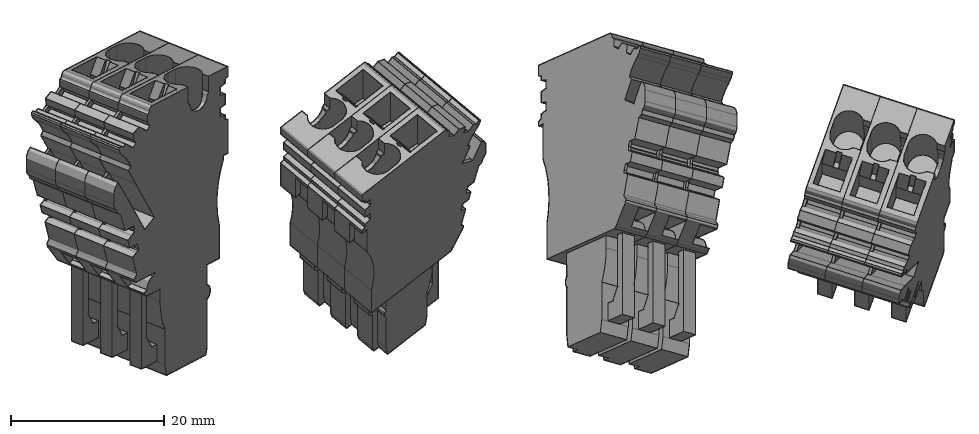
import cadquery as cq


MODULE_COUNT = 3
MODULE_WIDTH = 5.1
HEIGHT = 40.75
TOP_EDGE_RADIUS = 0.15

HOUSING_BOTTOM = 13.15
HOUSING_REAR = 1.75
WAIST_DEPTH = 2.2
REAR_STEP = 0.95
KEY_TOP = 32.27
KEY_BOTTOM = 27.95
KEY_START_X = 2.32

NOTCH_COUNT = 2
NOTCH_TOP = 38.45
NOTCH_PITCH = 3.1
NOTCH_HEIGHT = 1.6
NOTCH_SLOPE = 0.2
NOTCH_LAND = 0.57
NOTCH_FLOOR = 1.55

SIDE_WALL = 0.4

WINDOW_TOP = 16.0
WINDOW_BOTTOM = 13.77

ENTRY_X = 2.5
ENTRY_DEPTH = 5.9
ENTRY_LENGTH = 5.45
ENTRY_WIDTH = 4.05
ENTRY_BOTTOM = 32.6
SIDE_SLOT_WIDTH = 4.08
SIDE_SLOT_WALL_Z = 38.5
SIDE_SLOT_ARC_Z = 38.0
SIDE_SLOT_BOTTOM = 36.5
SIDE_SLOT_REAR_LEDGE = 0.25
SIDE_SLOT_FRONT_LEDGE = 0.35

POCKET_X = 0.65
POCKET_WIDTH = 3.7
POCKET_REAR = 9.35
POCKET_FRONT = 14.3
POCKET_STEP = 10.65
POCKET_STEP_Z = 38.67
POCKET_FLOOR = 34.65
POCKET_FLOOR_END = 13.33
POCKET_FRONT_DROP = 0.2
RELIEF_X = 2.15
RELIEF_WIDTH = 0.75
RELIEF_REAR = 9.1
RELIEF_FOOT = 9.85

TAIL_X = 0.7
TAIL_REAR = 5.1
TAIL_KEY_REAR = 4.15
TAIL_FRONT_TOP = 13.45
TAIL_FRONT = 12.5
TAIL_CURVE_TOP = 11.4
TAIL_CURVE_BOTTOM = 6.93
BUMP_Z = 9.15
BLADE_BUMP_HEIGHT = 0.3
BLADE_BUMP_LENGTH = 1.5
KEY_BUMP_HEIGHT = 0.65
KEY_BUMP_LENGTH = 2.15
BLADE_TIP_TAPER = 1.67
KEY_TIP_TAPER = 1.0
TIP_INSET = 0.25
TIP_FRONT_INSET = 0.33
TIP_FRONT_TAPER = 1.7

LEG_X = 1.7
LEG_WIDTH = 2.0
LEG_REAR = 14.5
LEG_FRONT = 15.55
LEG_BOTTOM = 1.75
FOOT_TOP = 4.25
FOOT_SLOPE_START = 13.53
FOOT_SLOPE_TOP = 5.95


def outline_plane(x):
    """Plane across X whose axes are depth (-Y) and height (Z)."""
    return cq.Workplane(cq.Plane(origin=(x, 0, 0), xDir=(0, -1, 0), normal=(-1, 0, 0)))


def slab(outline, width):
    """Extrude a closed outline towards +X."""
    return outline.extrude(-width)


def polygon_slab(points, x, width):
    return slab(outline_plane(x).polyline(points).close(), width)


def line_through(outline, points):
    """Continue an outline with straight lines through the points."""
    for point in points:
        outline = outline.lineTo(*point)
    return outline


def rear_notch_points():
    points = [(0, 39.3), (NOTCH_LAND, 39.08)]
    for index in range(NOTCH_COUNT):
        top = NOTCH_TOP - index * NOTCH_PITCH
        bottom = top - NOTCH_HEIGHT
        points += [
            (NOTCH_LAND, top),
            (NOTCH_FLOOR, top - NOTCH_SLOPE),
            (NOTCH_FLOOR, bottom + NOTCH_SLOPE),
            (NOTCH_LAND, bottom),
        ]
    return points + [(NOTCH_LAND, 33.15), (0, 32.9)]


def housing():
    upper_grips = [
        (15.97, 39.6), (15.95, 38.67), (16.8, 38.05), (17.65, 38.65), (18.8, 38.05),
        (18.6, 37.0), (19.35, 36.5), (20.25, 37.15), (20.7, 36.88), (21.27, 37.15),
        (21.5, 37.05), (21.55, 36.75), (21.25, 36.1), (20.85, 35.7),
    ]
    latch_groove = [(19.7, 32.95), (18.25, 30.52), (20.15, 29.42), (21.7, 32.03)]
    lower_grips = [
        (21.8, 27.45), (21.25, 27.15), (20.38, 24.45),
        (19.27, 24.45), (19.05, 23.85), (19.05, 23.23), (19.8, 22.78), (19.45, 21.5),
        (18.4, 21.5), (18.1, 20.75), (18.1, 20.38), (18.85, 19.93), (18.1, 17.28),
    ]
    outline = outline_plane(0).moveTo(0, HEIGHT).lineTo(15.05, HEIGHT)
    outline = outline.threePointArc((15.4, 40.6), (15.55, 40.2))
    outline = outline.threePointArc((15.7, 39.95), (15.95, 39.8))
    outline = line_through(outline, upper_grips)
    outline = outline.threePointArc((19.8, 34.5), (19.25, 33.5))
    outline = line_through(outline, latch_groove)
    outline = outline.threePointArc((22.3, 31.5), (22.55, 30.65)).lineTo(22.55, 29.05)
    outline = outline.threePointArc((22.4, 28.52), (22, 28.05))
    outline = line_through(outline, lower_grips)
    outline = outline.threePointArc((18.15, 17.05), (18.25, 16.87))
    outline = outline.threePointArc((18.4, 16.7), (18.5, 16.45))
    outline = line_through(outline, [(18.38, 16.15), (16.4, 13.4), (16.1, HOUSING_BOTTOM)])
    outline = outline.lineTo(HOUSING_REAR, HOUSING_BOTTOM)
    outline = outline.lineTo(HOUSING_REAR, 18.15)
    outline = outline.threePointArc((WAIST_DEPTH, 21.6), (REAR_STEP, 27.4))
    outline = outline.lineTo(REAR_STEP, KEY_TOP).lineTo(0, KEY_TOP)
    outline = line_through(outline, reversed(rear_notch_points()))
    body = slab(outline.close(), MODULE_WIDTH)
    return body.edges("|X and >Z and >Y").fillet(TOP_EDGE_RADIUS)


def rear_key():
    points = [(0, KEY_TOP), (WAIST_DEPTH, KEY_TOP), (WAIST_DEPTH, KEY_BOTTOM), (0, KEY_BOTTOM)]
    return polygon_slab(points, KEY_START_X, MODULE_WIDTH - KEY_START_X)


def groove_reliefs():
    """Deeper parts of the front grooves, open at the +X side."""
    outlines = [
        [(15.95, 38.67), (15.5, 37.98), (16.1, 37.45), (16.8, 38.05)],
        [(18.6, 37.0), (18.2, 36.47), (18.8, 36.02), (19.35, 36.5)],
        [(18.25, 30.52), (14.6, 24.2), (16.45, 23.1), (20.15, 29.42)],
        [(19.27, 24.45), (18.6, 24.45), (18.45, 24.05), (18.6, 23.88), (18.5, 23.6), (19.05, 23.23), (19.05, 23.85)],
        [(18.4, 21.5), (17.9, 21.5), (17.65, 20.7), (17.73, 20.5), (18.1, 20.38), (18.1, 20.75)],
    ]
    return [polygon_slab(points, SIDE_WALL, MODULE_WIDTH - SIDE_WALL) for points in outlines]


def window():
    """Recess in the sloped lower front with a rounded inner face."""
    outline = (
        outline_plane(KEY_START_X)
        .moveTo(18.75, WINDOW_TOP)
        .lineTo(14.45, WINDOW_TOP)
        .lineTo(14.87, 15.65)
        .threePointArc((15.73, 15.05), (16.05, 14.1))
        .lineTo(16.7, WINDOW_BOTTOM)
        .lineTo(17.52, WINDOW_BOTTOM)
    )
    return slab(outline.close(), MODULE_WIDTH - KEY_START_X)


def wire_entry():
    depth = HEIGHT - ENTRY_BOTTOM
    base = cq.Workplane("XY", origin=(ENTRY_X, -ENTRY_DEPTH, ENTRY_BOTTOM))
    bore = base.slot2D(ENTRY_LENGTH, ENTRY_WIDTH, 90).extrude(depth)
    rear = ENTRY_DEPTH - SIDE_SLOT_WIDTH / 2
    front = ENTRY_DEPTH + SIDE_SLOT_WIDTH / 2
    side_slot = (
        outline_plane(ENTRY_X)
        .moveTo(rear, HEIGHT)
        .lineTo(rear, SIDE_SLOT_WALL_Z)
        .lineTo(rear + SIDE_SLOT_REAR_LEDGE, SIDE_SLOT_ARC_Z)
        .threePointArc((ENTRY_DEPTH, SIDE_SLOT_BOTTOM), (front - SIDE_SLOT_FRONT_LEDGE, SIDE_SLOT_ARC_Z))
        .lineTo(front, SIDE_SLOT_WALL_Z)
        .lineTo(front, HEIGHT)
    )
    return bore.union(slab(side_slot.close(), MODULE_WIDTH - ENTRY_X))


def release_pocket():
    pocket = polygon_slab(
        [
            (POCKET_REAR, HEIGHT),
            (POCKET_STEP, POCKET_STEP_Z),
            (POCKET_STEP, POCKET_FLOOR),
            (POCKET_FLOOR_END, POCKET_FLOOR),
            (POCKET_FRONT, POCKET_FLOOR - POCKET_FRONT_DROP),
            (POCKET_FRONT, HEIGHT),
        ],
        POCKET_X,
        POCKET_WIDTH,
    )
    relief = polygon_slab(
        [
            (RELIEF_REAR, HEIGHT),
            (RELIEF_FOOT, POCKET_STEP_Z),
            (POCKET_STEP, POCKET_STEP_Z),
            (POCKET_STEP, HEIGHT),
        ],
        RELIEF_X,
        RELIEF_WIDTH,
    )
    return pocket.union(relief)


def tail_blade(rear, bump_height, bump_length, rear_taper, x):
    """Tail plate from x to the +X side, with a rounded latching bump on its rear face."""
    tip_rear = rear + TIP_INSET
    outline = (
        outline_plane(x)
        .moveTo(rear, HOUSING_BOTTOM)
        .lineTo(TAIL_FRONT_TOP, HOUSING_BOTTOM)
        .lineTo(TAIL_FRONT_TOP, TAIL_CURVE_TOP)
        .threePointArc((13.2, 9.1), (TAIL_FRONT, TAIL_CURVE_BOTTOM))
        .lineTo(TAIL_FRONT, TIP_FRONT_TAPER)
        .lineTo(TAIL_FRONT - TIP_FRONT_INSET, 0)
        .lineTo(tip_rear, 0)
        .lineTo(rear, rear_taper)
        .lineTo(rear, BUMP_Z - bump_length / 2)
        .threePointArc((rear - bump_height, BUMP_Z), (rear, BUMP_Z + bump_length / 2))
    )
    return slab(outline.close(), MODULE_WIDTH - x)


def tail():
    blade = tail_blade(TAIL_REAR, BLADE_BUMP_HEIGHT, BLADE_BUMP_LENGTH, BLADE_TIP_TAPER, TAIL_X)
    key = tail_blade(TAIL_KEY_REAR, KEY_BUMP_HEIGHT, KEY_BUMP_LENGTH, KEY_TIP_TAPER, KEY_START_X)
    return blade.union(key)


def front_leg():
    points = [
        (TAIL_REAR, LEG_BOTTOM), (LEG_FRONT, LEG_BOTTOM), (LEG_FRONT, HOUSING_BOTTOM),
        (LEG_REAR, HOUSING_BOTTOM), (LEG_REAR, FOOT_SLOPE_TOP),
        (FOOT_SLOPE_START, FOOT_TOP), (TAIL_REAR, FOOT_TOP),
    ]
    return polygon_slab(points, LEG_X, LEG_WIDTH)


def connector_module():
    body = housing().union(rear_key())
    for relief in groove_reliefs():
        body = body.cut(relief)
    body = body.cut(window()).cut(wire_entry()).cut(release_pocket())
    return body.union(tail()).union(front_leg())


module = connector_module()
modules = [module.translate((index * MODULE_WIDTH, 0, 0)) for index in range(MODULE_COUNT)]

result = cq.Compound.makeCompound([copy.val() for copy in modules])